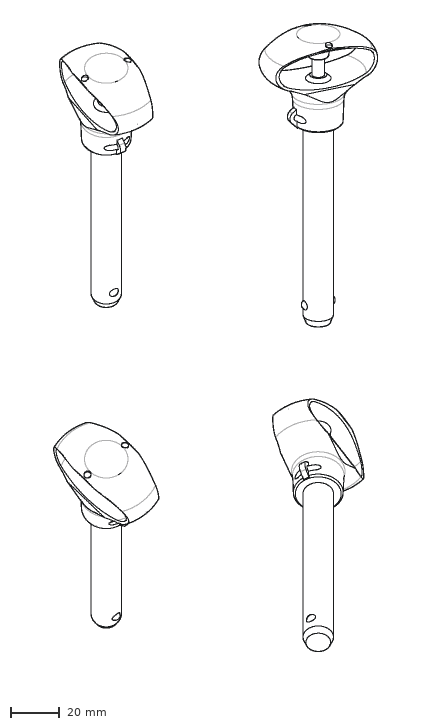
import cadquery as cq

height = 131.1
head_radius = 24.5
head_width = 24.8

shaft_radius = 6.3
tip_radius = 5.1
tip_length = 3.1
ball_radius = 2.2
ball_reach = 7.5
ball_z = 8.8

collar_bottom_z = 90.7
collar_chamfer = 0.8
collar_bottom_radius = 10.2
collar_top_radius = 10.6
collar_top_z = 101.9
neck_radius = 11.0
neck_z = 104.4

crown_radius = 8.9
shoulder_radius = 22.0
shoulder_z = 124.5
head_mid_z = 119.3
flare_radius = 20.7
flare_z = 113.1
cavity_radius = 23.1
cavity_ceiling_z = 129.4
cavity_shoulder_radius = 21.2
cavity_shoulder_z = 123.9
cavity_floor_z = 111.0
cavity_floor_radius = 5.2
cavity_flare_radius = 19.7
cavity_flare_z = 113.9

flare_middle = (14.2, 109.1)
dome_middle = (16.1, 128.2)
floor_middle = (13.1, 111.8)
ceiling_middle = (13.1, 128.0)

waist_half_width = 8.4
waist_z = 118.0
brim_half_width = head_width / 2
brim_z = 129.3
flat_half_width = 11.3
flat_top_z = 110.8

button_top_radius = 5.2
button_bottom_radius = 4.3
button_bottom_z = 121.1
button_chamfer = 0.4
button_overlap = 0.4
stem_radius = 2.6
stem_overlap = 1.3
rim_top_radius = 3.5
rim_bottom_radius = 5.2
rim_top_z = 112.6

pin_radius = 1.5
pin_offset = 10.4
pin_seat_z = 130.0

lug_x = 10.0
lug_z = 95.6
lug_radius = 3.4
lug_thickness = 2.6
lug_hole_radius = 1.6
lug_root_x = 7.2
lug_root_bottom_drop = 4.7
lug_root_top_rise = 6.0


def turned(profile):
    """Turn a closed radius-height profile about the Z axis."""
    return profile.close().revolve(360, (0, 0, 0), (0, 1, 0))


def cone(bottom_radius, bottom_z, top_radius, top_z):
    profile = (
        cq.Workplane("XZ")
        .moveTo(0, bottom_z)
        .lineTo(bottom_radius, bottom_z)
        .lineTo(top_radius, top_z)
        .lineTo(0, top_z)
    )
    return turned(profile)


def make_head():
    """Turned hollow handle, trimmed on both Y sides so the cavity opens through."""
    outer = turned(
        cq.Workplane("XZ")
        .moveTo(0, neck_z)
        .lineTo(neck_radius, neck_z)
        .threePointArc(flare_middle, (flare_radius, flare_z))
        .threePointArc((head_radius, head_mid_z), (shoulder_radius, shoulder_z))
        .threePointArc(dome_middle, (crown_radius, height))
        .lineTo(0, height)
    )
    cavity = turned(
        cq.Workplane("XZ")
        .moveTo(0, cavity_floor_z)
        .lineTo(cavity_floor_radius, cavity_floor_z)
        .threePointArc(floor_middle, (cavity_flare_radius, cavity_flare_z))
        .threePointArc((cavity_radius, head_mid_z), (cavity_shoulder_radius, cavity_shoulder_z))
        .threePointArc(ceiling_middle, (0, cavity_ceiling_z))
    )
    side_limits = (
        cq.Workplane("YZ")
        .moveTo(-flat_half_width, neck_z)
        .lineTo(flat_half_width, neck_z)
        .lineTo(flat_half_width, flat_top_z)
        .threePointArc((waist_half_width, waist_z), (brim_half_width, brim_z))
        .lineTo(brim_half_width, height)
        .lineTo(-brim_half_width, height)
        .lineTo(-brim_half_width, brim_z)
        .threePointArc((-waist_half_width, waist_z), (-flat_half_width, flat_top_z))
        .close()
        .extrude(head_radius, both=True)
    )
    return outer.cut(cavity).intersect(side_limits)


def make_button():
    button = cone(button_bottom_radius, button_bottom_z, button_top_radius, cavity_ceiling_z + button_overlap)
    button = button.faces("<Z").chamfer(button_chamfer)
    stem = cone(stem_radius, cavity_floor_z - stem_overlap, stem_radius, button_bottom_z + stem_overlap)
    rim = cone(rim_bottom_radius, cavity_floor_z, rim_top_radius, rim_top_z)
    return button.union(stem).union(rim)


def make_collar():
    lower = cone(collar_bottom_radius, collar_bottom_z, collar_top_radius, collar_top_z)
    lower = lower.faces("<Z").chamfer(collar_chamfer)
    collar = lower.union(cone(collar_top_radius, collar_top_z, neck_radius, neck_z))
    return collar.rotate((0, 0, 0), (0, 0, 1), 180)


def make_shaft():
    tip = cone(tip_radius, 0, shaft_radius, tip_length)
    shaft = tip.union(cone(shaft_radius, tip_length, shaft_radius, collar_top_z))
    for side in (-1, 1):
        ball_x = side * (ball_reach - ball_radius)
        shaft = shaft.union(cq.Workplane().sphere(ball_radius).translate((ball_x, 0, ball_z)))
    return shaft


def make_lug():
    half = lug_radius / 2 ** 0.5
    return (
        cq.Workplane("XZ")
        .moveTo(lug_root_x, lug_z - lug_root_bottom_drop)
        .lineTo(lug_x, lug_z - lug_radius * 2 ** 0.5)
        .lineTo(lug_x + half, lug_z - half)
        .threePointArc((lug_x + lug_radius, lug_z), (lug_x + half, lug_z + half))
        .lineTo(lug_root_x, lug_z + lug_root_top_rise)
        .close()
        .extrude(lug_thickness / 2, both=True)
    )


def make_pin_seats():
    """Shallow flat-bottomed seats for the two pins beside the crown."""
    return (
        cq.Workplane("XY", origin=(0, 0, pin_seat_z))
        .pushPoints([(0, pin_offset), (0, -pin_offset)])
        .circle(pin_radius)
        .extrude(height - pin_seat_z)
    )


def make_lug_hole():
    """Hole along Y that passes through the lug and the edge of the collar."""
    return (
        cq.Workplane("XZ")
        .center(lug_x, lug_z)
        .circle(lug_hole_radius)
        .extrude(collar_top_radius, both=True)
    )


head = make_head().cut(make_pin_seats())
collar = make_collar().union(make_lug()).cut(make_lug_hole())
result = head.union(make_button()).union(collar).union(make_shaft())